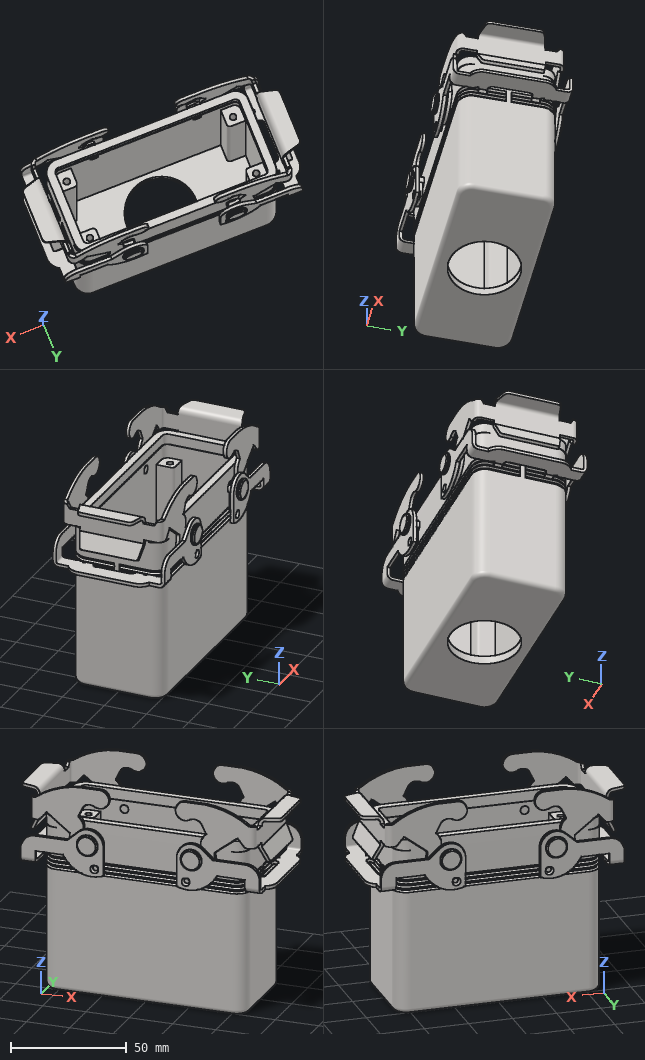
import cadquery as cq
import math

diagonal = math.sqrt(0.5)

length = 93.8
width = 43.5
height = 81.0
wall = 4.0
floor = 4.0
corner_radius = 6.4
bottom_fillet = 2.3
rim_height = 5.0
rim_taper = 0.5
rim_radius = 6.0
rim_base = height - rim_height
opening_length = length - 2 * wall
opening_width = 36.0
opening_radius = 2.1
pocket_radius = 3.0
pocket_relief = 0.3
cable_hole_diameter = 32.0

post_top = 69.4
post_size = 8.0
post_radius = 1.5
screw_spacing_x = 77.5
screw_spacing_y = 27.0
screw_hole_diameter = 2.9
screw_hole_depth = 12.0

groove_count = 3
groove_pitch = 2.0
groove_top = 62.5
groove_depth = 1.0
groove_flank = 0.7
groove_taper = math.degrees(math.atan2(groove_depth, groove_flank))
web_width = 2.4

sheet = 1.6
bend_outer = 2.8
bend_inner = bend_outer - sheet
pivot_x = -24.0
pivot_z = 72.0
hook_outer_y = 23.9
hook_inner_y = hook_outer_y - sheet
bail_outer_y = 26.6
bail_inner_y = bail_outer_y - sheet

rivet_end_y = 28.5
rivet_head_radius = 4.8
rivet_head_chamfer = 0.6
shank_radius = 2.6
tail_radius = 1.9

hook_end_x = -52.0
hook_top = 97.0
hook_bottom = 79.4
nose_radius = 4.3
nose_x = -19.7
corner_x = hook_end_x + bend_outer
corner_top = 89.2
back_start_z = 89.8
back_end_x = -29.1
back_middle = (-40.5, 94.5)
catch_start = (-21.6, 88.75)
catch_middle = (-24.1, 89.6)
catch_end = (-27.4, 87.9)
throat = (-29.6, 83.4)
neck_middle = (-27.9, 81.6)
neck_end = (-27.1, 79.0)
neck_bottom = 76.0
heel = (-34.2, 70.0)
leg_x = -33.4
leg_bottom = 74.0
leg_top = 75.2
arch_top = (-44.1, 83.4)
flange_x = -47.6
hook_root_radius = 10.4
hook_root_right = -22.0
root_top = 74.0
notch_floor = 87.2
notch_foot = 20.0
notch_rim = 21.2
tongue_half = 15.3

flap_tip_x = -59.985
flap_top = 90.8
flap_bend_outer = 3.2
flap_bend_inner = flap_bend_outer - sheet
flap_tip_half = 12.7
flap_tip_radius = 2.3

lip_bend_z = 77.6
lip_length = 8.0
lip_angle = 27.0
lip_root_half = 15.2
lip_tip_half = 13.7
lip_tip_radius = 1.2

bail_bottom = 59.6
bail_top = bail_bottom + sheet
arm_top = 72.8
arm_bottom = 65.8
arm_left = -55.2
arm_right = -48.4
arm_radius = 6.6
lobe_radius = 7.0
lobe_neck_angle = 130.0
lobe_corner_z = 58.4
lobe_belly = (-28.2, 58.7)
lobe_heel_x = -35.5
arm_right_top = -33.7
lobe_right = pivot_x + lobe_radius
handle_x = -58.7
handle_half = 13.8
handle_shoulder = 19.2
handle_curve_x = -57.7
handle_curve_y = 16.9
slot_half = 9.9
slot_x = -51.0
slot_radius = 2.0
tab_outer = 13.7
tab_drop = 1.0
tab_end_x = -length / 2
relief_radius = 0.8

dimple_x = -21.1
dimple_z = 61.0
dimple_radius = 1.85
dimple_floor_radius = 1.2
dimple_depth = 1.6


def rounded_block(size_x, size_y, radius, z_low, z_high, taper=0):
    block = cq.Sketch().rect(size_x, size_y).vertices().fillet(radius)
    return cq.Workplane("XY", origin=(0, 0, z_low)).placeSketch(block).extrude(z_high - z_low, taper=taper)


def box(x_low, x_high, y_low, y_high, z_low, z_high):
    size = (x_high - x_low, y_high - y_low, z_high - z_low)
    return cq.Workplane("XY").box(*size, centered=False).translate((x_low, y_low, z_low))


def rod(x, z, radius, y_low, y_high):
    """Cylinder along Y."""
    return cq.Workplane("XZ", origin=(x, y_low, z)).circle(radius).extrude(y_low - y_high)


def both_sides(shape):
    """The shape together with its copy on the other side of the XZ plane."""
    return shape.union(shape.mirror("XZ"))


def groove_ring(z_top):
    """Material removed by one V groove with a narrow flat bottom."""
    z_low = z_top - groove_pitch
    upper = rounded_block(length, width, corner_radius, 0, groove_flank, groove_taper).mirror("XY")
    lower = rounded_block(length, width, corner_radius, 0, groove_flank, groove_taper)
    waist = rounded_block(
        length - 2 * groove_depth,
        width - 2 * groove_depth,
        corner_radius - groove_depth,
        z_low + groove_flank,
        z_top - groove_flank,
    )
    core = upper.translate((0, 0, z_top)).union(lower.translate((0, 0, z_low))).union(waist)
    ring = box(-length, length, -width, width, z_low, z_top).cut(core)
    return ring.cut(box(-length, length, -web_width / 2, web_width / 2, z_low, z_top))


def post(side_x, side_y):
    """Screw post in one corner of the pocket."""
    wall_x = opening_length / 2 + pocket_relief
    wall_y = opening_width / 2 + pocket_relief
    inner_x = opening_length / 2 - post_size
    inner_y = opening_width / 2 - post_size
    column = box(inner_x, wall_x, inner_y, wall_y, floor, post_top)
    column = column.edges("|Z and <X and <Y").fillet(post_radius)
    if side_x < 0:
        column = column.mirror("YZ")
    if side_y < 0:
        column = column.mirror("XZ")
    return column


def screw_hole(side_x, side_y):
    """Blind hole with a conical drill bottom."""
    radius = screw_hole_diameter / 2
    profile = cq.Workplane("XZ").polyline(
        [(0, 0), (radius, 0), (radius, -screw_hole_depth), (0, -screw_hole_depth - radius)]
    )
    hole = profile.close().revolve(360, (0, 0, 0), (0, 1, 0))
    return hole.translate((side_x * screw_spacing_x / 2, side_y * screw_spacing_y / 2, post_top))


def make_housing():
    body = rounded_block(length, width, corner_radius, 0, rim_base)
    body = body.faces("<Z").edges().fillet(bottom_fillet)
    body = body.union(rounded_block(length, width, rim_radius, rim_base, height, rim_taper))
    for index in range(groove_count):
        body = body.cut(groove_ring(groove_top - index * groove_pitch))
    pocket = rounded_block(
        opening_length + 2 * pocket_relief,
        opening_width + 2 * pocket_relief,
        pocket_radius,
        floor,
        rim_base,
    )
    body = body.cut(pocket)
    body = body.cut(rounded_block(opening_length, opening_width, opening_radius, rim_base, height))
    corners = [(side_x, side_y) for side_x in (-1, 1) for side_y in (-1, 1)]
    for side_x, side_y in corners:
        body = body.union(post(side_x, side_y))
        body = body.cut(screw_hole(side_x, side_y))
    body = body.cut(cq.Workplane("XY").circle(cable_hole_diameter / 2).extrude(floor))
    for x in (pivot_x, -pivot_x):
        body = body.cut(rod(x, pivot_z, tail_radius, -width, width))
    return body


def hook_side_outline():
    """Side of the hook bracket: hook nose, mating notch, leg and corner flange."""
    nose_z = hook_top - nose_radius
    root_corner_z = pivot_z - math.sqrt(hook_root_radius**2 - (hook_root_right - pivot_x) ** 2)
    outline = (
        cq.Workplane("XZ", origin=(0, hook_outer_y, 0))
        .moveTo(hook_end_x, hook_bottom)
        .lineTo(hook_end_x, corner_top)
        .lineTo(corner_x, back_start_z)
        .threePointArc(back_middle, (back_end_x, hook_top))
        .lineTo(nose_x, hook_top)
        .threePointArc((nose_x + nose_radius, nose_z), (nose_x, nose_z - nose_radius))
        .lineTo(*catch_start)
        .threePointArc(catch_middle, catch_end)
        .lineTo(*throat)
        .threePointArc(neck_middle, neck_end)
        .lineTo(neck_end[0], neck_bottom)
        .lineTo(hook_root_right, root_top)
        .lineTo(hook_root_right, root_corner_z)
        .threePointArc((pivot_x, pivot_z - hook_root_radius), heel)
        .lineTo(leg_x, leg_bottom)
        .lineTo(leg_x, leg_top)
        .lineTo(*arch_top)
        .lineTo(flange_x, hook_bottom)
        .close()
    )
    return outline.extrude(2 * hook_outer_y)


def hook_sheet():
    """U-shaped strip seen from above, bent around the end of the housing."""
    reach = 2 * abs(hook_end_x)
    outer = box(hook_end_x, hook_end_x + reach, -hook_outer_y, hook_outer_y, 0, hook_top)
    inner = box(hook_end_x + sheet, hook_end_x + reach, -hook_inner_y, hook_inner_y, 0, hook_top)
    outer = outer.edges("|Z and <X").fillet(bend_outer)
    inner = inner.edges("|Z and <X").fillet(bend_inner)
    return outer.cut(inner)


def end_plate_notch():
    """Material removed from the top of the end plate, beside and above the flap's root."""
    profile = cq.Workplane("YZ", origin=(hook_end_x, 0, 0)).polyline(
        [
            (-notch_rim, hook_top),
            (-notch_rim, corner_top),
            (-notch_foot, notch_floor),
            (notch_foot, notch_floor),
            (notch_rim, corner_top),
            (notch_rim, hook_top),
        ]
    )
    return profile.close().extrude(sheet)


def finger_flap():
    """Strip that rises from the end plate and bends outward into a level flap."""
    inner_x = hook_end_x + sheet
    centre_x = hook_end_x - flap_bend_inner
    centre_z = flap_top - flap_bend_outer
    strip = (
        cq.Workplane("XZ", origin=(0, tongue_half, 0))
        .moveTo(inner_x, notch_floor)
        .lineTo(inner_x, centre_z)
        .threePointArc(
            (centre_x + flap_bend_outer * diagonal, centre_z + flap_bend_outer * diagonal),
            (centre_x, flap_top),
        )
        .lineTo(flap_tip_x, flap_top)
        .lineTo(flap_tip_x, flap_top - sheet)
        .lineTo(centre_x, flap_top - sheet)
        .threePointArc(
            (centre_x + flap_bend_inner * diagonal, centre_z + flap_bend_inner * diagonal),
            (hook_end_x, centre_z),
        )
        .lineTo(hook_end_x, notch_floor)
        .close()
        .extrude(2 * tongue_half)
    )
    plan = (
        cq.Workplane("XY", origin=(0, 0, notch_floor))
        .polyline(
            [
                (inner_x, tongue_half),
                (flap_tip_x, flap_tip_half),
                (flap_tip_x, -flap_tip_half),
                (inner_x, -tongue_half),
            ]
        )
        .close()
        .extrude(hook_top - notch_floor)
        .edges("|Z and <X")
        .fillet(flap_tip_radius)
    )
    return strip.intersect(plan)


def bottom_lip():
    """Tongue of the end plate, then a lip that slopes down and outward."""
    neck = box(hook_end_x, hook_end_x + sheet, -lip_root_half, lip_root_half, lip_bend_z, hook_bottom)
    lip = (
        cq.Workplane("YZ")
        .polyline(
            [
                (-lip_root_half, 0),
                (-lip_tip_half, -lip_length),
                (lip_tip_half, -lip_length),
                (lip_root_half, 0),
            ]
        )
        .close()
        .extrude(sheet)
        .edges("|X and <Z")
        .fillet(lip_tip_radius)
    )
    lip = lip.rotate((0, 0, 0), (0, 1, 0), lip_angle).translate((hook_end_x, 0, lip_bend_z))
    corner_fill = (
        cq.Workplane("XZ", origin=(0, lip_root_half, 0))
        .moveTo(hook_end_x, lip_bend_z)
        .lineTo(hook_end_x + sheet, lip_bend_z)
        .radiusArc(
            (
                hook_end_x + sheet * math.cos(math.radians(lip_angle)),
                lip_bend_z - sheet * math.sin(math.radians(lip_angle)),
            ),
            sheet,
        )
        .close()
        .extrude(2 * lip_root_half)
    )
    return neck.union(corner_fill).union(lip)


def make_hook_bracket():
    bracket = hook_sheet().intersect(hook_side_outline())
    return bracket.cut(end_plate_notch()).union(finger_flap()).union(bottom_lip())


def bail_side():
    """One flat side of the bail: arm and rounded lobe around the rivet."""
    bend_z = bail_bottom + bend_outer
    tangent_angle = math.radians(lobe_neck_angle)
    tangent_x = pivot_x + lobe_radius * math.cos(tangent_angle)
    tangent_z = pivot_z + lobe_radius * math.sin(tangent_angle)
    outline = (
        cq.Workplane("XZ", origin=(0, bail_outer_y, 0))
        .moveTo(arm_left, bend_z)
        .lineTo(arm_left, arm_top - arm_radius)
        .threePointArc(
            (
                arm_left + arm_radius * (1 - diagonal),
                arm_top - arm_radius * (1 - diagonal),
            ),
            (arm_left + arm_radius, arm_top),
        )
        .lineTo(arm_right_top, arm_top)
        .lineTo(tangent_x, tangent_z)
        .threePointArc((pivot_x, pivot_z + lobe_radius), (lobe_right, pivot_z))
        .lineTo(lobe_right, lobe_corner_z)
        .threePointArc(lobe_belly, (lobe_heel_x, arm_bottom))
        .lineTo(arm_right, arm_bottom)
        .lineTo(arm_right, bend_z)
        .close()
    )
    return outline.extrude(sheet)


def bail_channel():
    """Bends that join the base of the bail to its sides."""
    outer = box(arm_left, arm_right, -bail_outer_y, bail_outer_y, bail_bottom, arm_bottom)
    inner = box(arm_left, arm_right, -bail_inner_y, bail_inner_y, bail_top, arm_bottom)
    outer = outer.edges("|X and <Z").fillet(bend_outer)
    inner = inner.edges("|X and <Z").fillet(bend_inner)
    level = box(arm_left, arm_right, -bail_outer_y, bail_outer_y, bail_bottom, bail_bottom + bend_outer)
    return outer.cut(inner).intersect(level)


def bail_handle():
    """Bulge of the base that sticks out beyond the arms."""
    outline = (
        cq.Workplane("XY", origin=(0, 0, bail_bottom))
        .moveTo(arm_left, handle_shoulder)
        .threePointArc((handle_curve_x, handle_curve_y), (handle_x, handle_half))
        .lineTo(handle_x, -handle_half)
        .threePointArc((handle_curve_x, -handle_curve_y), (arm_left, -handle_shoulder))
        .close()
    )
    return outline.extrude(sheet)


def bail_tab():
    """Tongue bent slightly downward, resting against the housing."""
    outline = cq.Workplane("XZ", origin=(0, tab_outer, 0)).polyline(
        [
            (arm_right, bail_top),
            (tab_end_x, bail_top - tab_drop),
            (tab_end_x, bail_bottom - tab_drop),
            (arm_right, bail_bottom),
        ]
    )
    return outline.close().extrude(tab_outer - slot_half)


def bail_cutouts():
    """Long slot between the tabs and a round relief beside each tab."""
    slot = box(slot_x, tab_end_x, -slot_half, slot_half, bail_bottom, bail_top)
    slot = slot.edges("|Z and <X").fillet(slot_radius)
    relief = (
        cq.Workplane("XY", origin=(arm_right, tab_outer + relief_radius, bail_bottom))
        .circle(relief_radius)
        .extrude(sheet)
    )
    return slot.union(both_sides(relief))


def dimple_boss():
    """Round bump on the inner face of the bail, resting on the hook bracket."""
    return rod(dimple_x, dimple_z, dimple_radius, -bail_inner_y, -hook_outer_y)


def dimple_recess():
    """Conical recess in the outer face of the bail, opposite the bump."""
    profile = cq.Workplane("XY").polyline(
        [(0, 0), (dimple_radius, 0), (dimple_floor_radius, dimple_depth), (0, dimple_depth)]
    )
    cone = profile.close().revolve(360, (0, 0, 0), (0, 1, 0))
    return cone.translate((dimple_x, -bail_outer_y, dimple_z))


def make_bail():
    bail = both_sides(bail_side()).union(bail_channel()).union(bail_handle())
    bail = bail.cut(bail_cutouts()).union(both_sides(bail_tab()))
    bail = bail.union(both_sides(dimple_boss()))
    return bail.cut(both_sides(dimple_recess()))


def rivet():
    """Headed pin through bail, hook bracket and housing wall, flush inside the pocket."""
    inner_y = opening_width / 2 + pocket_relief
    head = rod(pivot_x, pivot_z, rivet_head_radius, bail_outer_y, rivet_end_y)
    head = head.edges().chamfer(rivet_head_chamfer)
    shank = rod(pivot_x, pivot_z, shank_radius, width / 2, bail_outer_y)
    tail = rod(pivot_x, pivot_z, tail_radius, inner_y, width / 2)
    return head.union(shank).union(tail)


def make_latch():
    return make_hook_bracket().union(make_bail()).union(both_sides(rivet()))


housing = make_housing()
left_latch = make_latch()
right_latch = left_latch.mirror("YZ")

result = cq.Compound.makeCompound([body.solids().val() for body in (housing, left_latch, right_latch)])